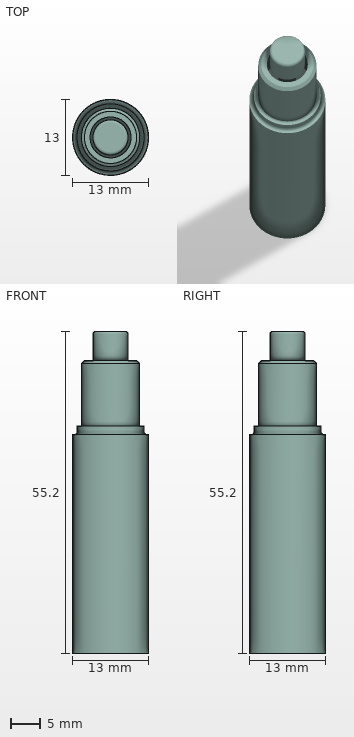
import cadquery as cq

overall_height = 55.2

body_diameter = 13.0
body_height = 37.5
collar_diameter = 11.5
collar_height = 1.5
collar_root_radius = 0.5
neck_diameter = 10.0
neck_face_diameter = 8.95
neck_chamfer_height = 0.5
bore_diameter = 7.0

button_diameter = 6.0
button_height = 5.0
button_edge_radius = 0.5
rod_diameter = 3.0

collar_top = body_height + collar_height
neck_top = overall_height - button_height
bore_depth = button_height
bore_floor = neck_top - bore_depth


def cylinder(diameter, bottom, top):
    """Upright cylinder between two levels."""
    return cq.Workplane("XY").workplane(offset=bottom).circle(diameter / 2).extrude(top - bottom)


def make_housing():
    """Stepped barrel with a filleted collar, a chamfered neck and a blind bore."""
    body_radius = body_diameter / 2
    collar_radius = collar_diameter / 2
    neck_radius = neck_diameter / 2
    root_center = (collar_radius + collar_root_radius, body_height + collar_root_radius)
    half_section = (
        cq.Workplane("XZ")
        .lineTo(body_radius, 0)
        .lineTo(body_radius, body_height)
        .lineTo(root_center[0], body_height)
        .radiusArc((collar_radius, root_center[1]), collar_root_radius)
        .lineTo(collar_radius, collar_top)
        .lineTo(neck_radius, collar_top)
        .lineTo(neck_radius, neck_top - neck_chamfer_height)
        .lineTo(neck_face_diameter / 2, neck_top)
        .lineTo(0, neck_top)
        .close()
    )
    barrel = half_section.revolve(360, (0, 0), (0, 1))
    return barrel.cut(cylinder(bore_diameter, bore_floor, neck_top))


def make_plunger():
    """Button above the neck, carried by a thin rod that stands on the bore floor."""
    button = cylinder(button_diameter, neck_top, overall_height)
    button = button.faces(">Z").edges().fillet(button_edge_radius)
    return button.union(cylinder(rod_diameter, bore_floor, neck_top))


housing = make_housing()
plunger = make_plunger()

result = cq.Compound.makeCompound([housing.solids().val(), plunger.solids().val()])